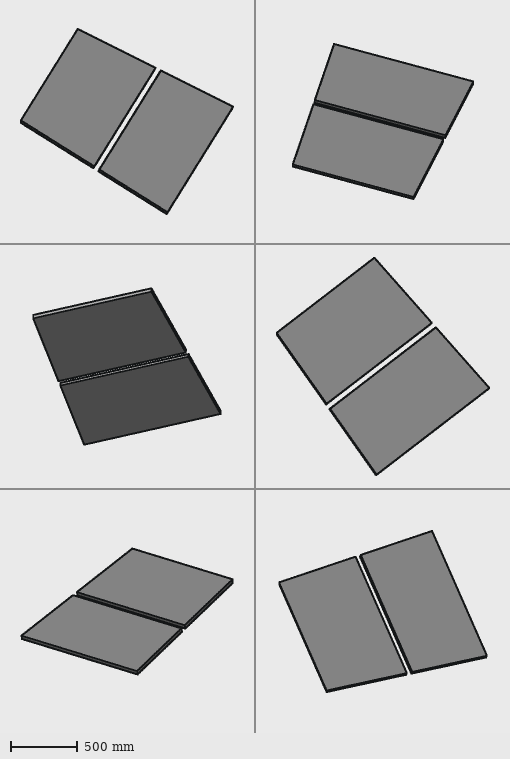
import cadquery as cq
import math

plan_turn = 6.6
slope_angle = 13.2
thickness = 32.0

total_width = 1277.0
upper_width = 639.0
lower_start = 682.0
upper_edge_length = 957.0
end_flare = 73.0

slope = math.tan(math.radians(slope_angle))
edge_shift = thickness * math.sin(math.radians(slope_angle))
square_drop = thickness * math.cos(math.radians(slope_angle))
vertical_drop = thickness / math.cos(math.radians(slope_angle))


def top_height(x):
    """Height of the common top surface."""
    return -slope * x


def square_bottom(x):
    """Bottom point of an edge that is square to the surface at x."""
    return (x - edge_shift, top_height(x) - square_drop)


def plumb_bottom(x):
    """Bottom point of a vertical edge at x."""
    return (x, top_height(x) - vertical_drop)


def flared_outline():
    """Vertical prism bounding the flared ends of both panels."""
    prism_height = 2 * (slope * total_width + vertical_drop)
    outline = [
        (0, 0),
        (total_width, -end_flare),
        (total_width, upper_edge_length + end_flare),
        (0, upper_edge_length),
    ]
    return cq.Workplane("XY").polyline(outline).close().extrude(prism_height / 2, both=True)


def panel(start, end, start_bottom):
    """Sloping slab between two x positions, trimmed to the flared outline."""
    section = [
        (start, top_height(start)),
        (end, top_height(end)),
        square_bottom(end),
        start_bottom,
    ]
    slab_reach = upper_edge_length + 2 * end_flare
    slab = cq.Workplane("XZ").polyline(section).close().extrude(slab_reach, both=True)
    trimmed = slab.intersect(flared_outline())
    return trimmed.rotate((0, 0, 0), (0, 0, 1), plan_turn).solids()


upper_panel = panel(0, upper_width, plumb_bottom(0))

lower_panel = panel(lower_start, total_width, square_bottom(lower_start))

result = cq.Compound.makeCompound([upper_panel.val(), lower_panel.val()])